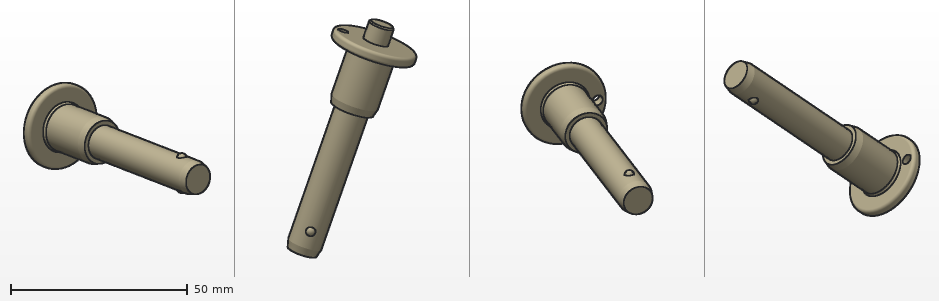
import cadquery as cq

length = 70.5
flange_start = 5.5
flange_thickness = 3.0
collar_taper_start = 24.05
collar_end = 26.4
nose_length = 2.5

button_radius = 3.75
flange_radius = 12.515
collar_radius = 7.0
collar_end_radius = 6.35
shank_radius = 5.0
nose_end_radius = 4.4

button_chamfer = 0.5
flange_fillet = 1.0
neck_length = 0.85
neck_rise = 0.4

lanyard_hole_diameter = 3.0
lanyard_hole_offset = 9.7

ball_radius = 1.4
ball_protrusion = 0.9
ball_from_nose = 7.55

flange_end = flange_start + flange_thickness
ball_x = length - ball_from_nose
ball_centre_height = shank_radius + ball_protrusion - ball_radius


def make_ball(side):
    """One locking ball; side is +1 for the upper ball and -1 for the lower one."""
    return cq.Workplane("XY").sphere(ball_radius).translate((ball_x, 0, side * ball_centre_height))


def make_pin_profile():
    """Half outline of the button, flange, collar and shank, as (X, radius)."""
    return (
        cq.Workplane("XY")
        .moveTo(0, 0)
        .lineTo(0, button_radius - button_chamfer)
        .lineTo(button_chamfer, button_radius)
        .lineTo(flange_start, button_radius)
        .lineTo(flange_start, flange_radius - flange_fillet)
        .radiusArc((flange_start + flange_fillet, flange_radius), flange_fillet)
        .lineTo(flange_end - flange_fillet, flange_radius)
        .radiusArc((flange_end, flange_radius - flange_fillet), flange_fillet)
        .lineTo(flange_end, collar_radius + neck_rise)
        .lineTo(flange_end + neck_length, collar_radius)
        .lineTo(collar_taper_start, collar_radius)
        .lineTo(collar_end, collar_end_radius)
        .lineTo(collar_end, shank_radius)
        .lineTo(length - nose_length, shank_radius)
        .lineTo(length, nose_end_radius)
        .lineTo(length, 0)
        .close()
    )


def make_pin(balls):
    """Turned pin with its lanyard hole and a matching seat for each ball."""
    pin = make_pin_profile().revolve(360, (0, 0, 0), (1, 0, 0))
    lanyard_hole = (
        cq.Workplane("YZ", origin=(flange_start, lanyard_hole_offset, 0))
        .circle(lanyard_hole_diameter / 2)
        .extrude(flange_thickness)
    )
    pin = pin.cut(lanyard_hole)
    for ball in balls:
        pin = pin.cut(ball)
    return pin


balls = [make_ball(side) for side in (1, -1)]
pin = make_pin(balls)

result = cq.Compound.makeCompound([pin.val(), *[ball.val() for ball in balls]])